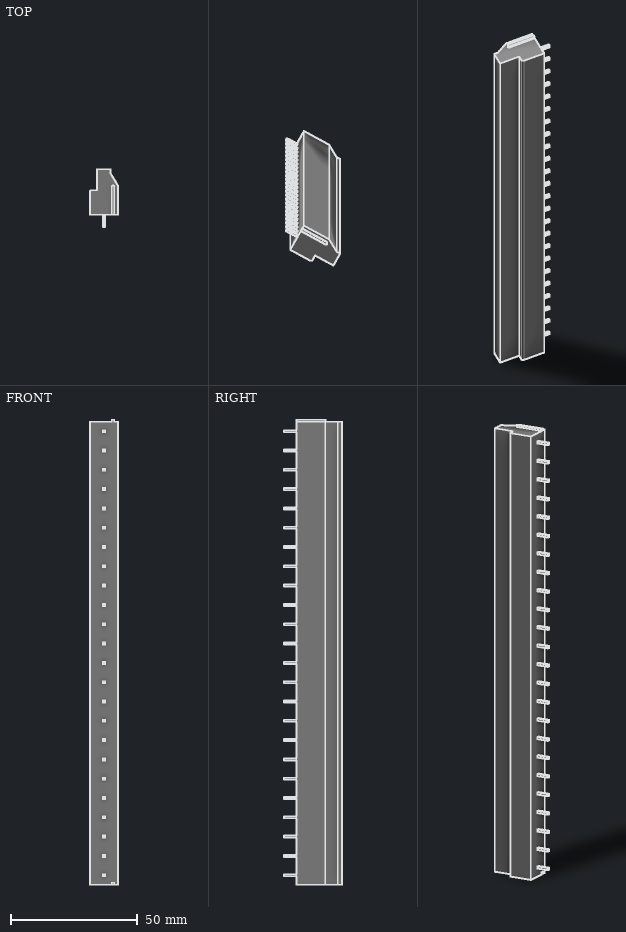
import cadquery as cq

total_length = 183.5
total_depth = 23.0
rib_height = 0.7
body_length = total_length - rib_height

body_width = 11.2
body_depth = 18.0
ledge_width = 2.8
ledge_depth = 9.7
crown_right = 8.3
slope_top = 16.3
slope_bottom = 11.4
ledge_radius = 0.7

rib_width = 1.1
rib_center = 9.2
rib_length = 11.5
groove_depth = 1.0

pin_count = 24
pin_pitch = body_length / pin_count
pin_size = 1.0
pin_length = total_depth - body_depth
pin_center = body_width / 2
first_pin_height = pin_pitch / 2
pin_tip_chamfer = 0.2


def make_body():
    """Stepped profile with a sloped right shoulder, extruded along Z."""
    outline = [
        (0, 0),
        (body_width, 0),
        (body_width, slope_bottom),
        (crown_right, slope_top),
        (crown_right, body_depth),
        (ledge_width, body_depth),
        (ledge_width, ledge_depth),
        (0, ledge_depth),
    ]
    body = cq.Workplane("XY").polyline(outline).close().extrude(body_length)
    ledge_corner = cq.selectors.NearestToPointSelector((0, ledge_depth, body_length / 2))
    return body.edges(ledge_corner).fillet(ledge_radius)


def make_rib(base_height, height):
    """Straight rib from the front face, with a round end toward +Y."""
    half_width = rib_width / 2
    round_start = rib_length - half_width
    return (
        cq.Workplane("XY", origin=(rib_center, 0, base_height))
        .moveTo(-half_width, 0)
        .lineTo(half_width, 0)
        .lineTo(half_width, round_start)
        .threePointArc((0, rib_length), (-half_width, round_start))
        .close()
        .extrude(height)
    )


def make_pin(height):
    """Square pin on the front face, with a bevelled tip."""
    return (
        cq.Workplane("XZ", origin=(pin_center, 0, height))
        .rect(pin_size, pin_size)
        .extrude(pin_length)
        .faces("<Y")
        .chamfer(pin_tip_chamfer)
    )


result = make_body()
result = result.union(make_rib(body_length, rib_height))
result = result.cut(make_rib(0, groove_depth))
for index in range(pin_count):
    result = result.union(make_pin(first_pin_height + index * pin_pitch))